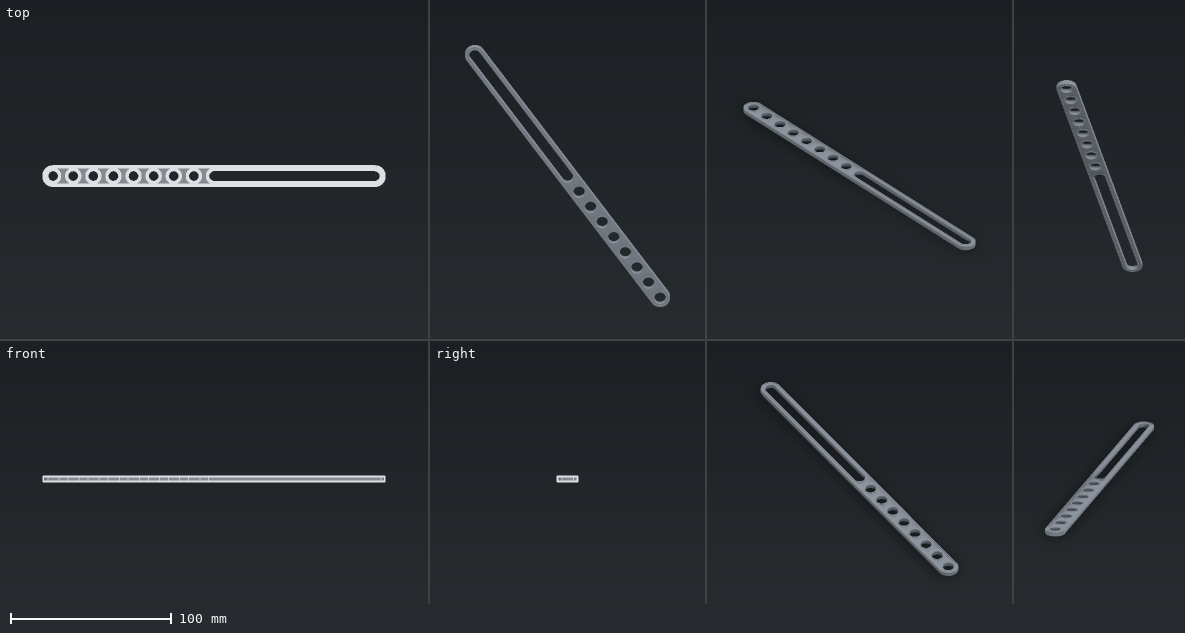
import cadquery as cq

length = 212.5
pitch_count = 17
hole_count = 8
thickness = 3.2
hole_diameter = 7.0
ring_diameter = 9.1
border_width = 1.0
recess_depth = 0.25
edge_chamfer = 0.32

pitch = length / pitch_count
width = pitch
first_center = -length / 2 + pitch / 2
last_center = length / 2 - pitch / 2
slot_start = first_center + hole_count * pitch
slot_middle = (slot_start + last_center) / 2
slot_span = last_center - slot_start
hole_centers = [(first_center + index * pitch, 0) for index in range(hole_count)]


def strip(inset, bottom, height):
    """Round-ended strip, moved inward from the outline by inset."""
    plane = cq.Workplane("XY").workplane(offset=bottom)
    return plane.slot2D(length - 2 * inset, width - 2 * inset).extrude(height)


def hole_pattern(diameter, bottom, height):
    """Row of discs plus the long slot, all of the same width."""
    plane = cq.Workplane("XY").workplane(offset=bottom)
    discs = plane.pushPoints(hole_centers).circle(diameter / 2).extrude(height)
    slot = plane.center(slot_middle, 0).slot2D(slot_span + diameter, diameter).extrude(height)
    return discs.union(slot)


def make_blank():
    """Strip pierced by the holes and the slot, with every face edge chamfered."""
    blank = strip(0, -thickness / 2, thickness)
    blank = blank.cut(hole_pattern(hole_diameter, -thickness / 2, thickness))
    return blank.faces("|Z").edges().chamfer(edge_chamfer)


def recess(bottom):
    """Shallow pocket that leaves a border along the outline and a ring around each opening."""
    pocket = strip(border_width, bottom, recess_depth)
    return pocket.cut(hole_pattern(ring_diameter, bottom, recess_depth))


result = make_blank()
for recess_bottom in (thickness / 2 - recess_depth, -thickness / 2):
    result = result.cut(recess(recess_bottom))